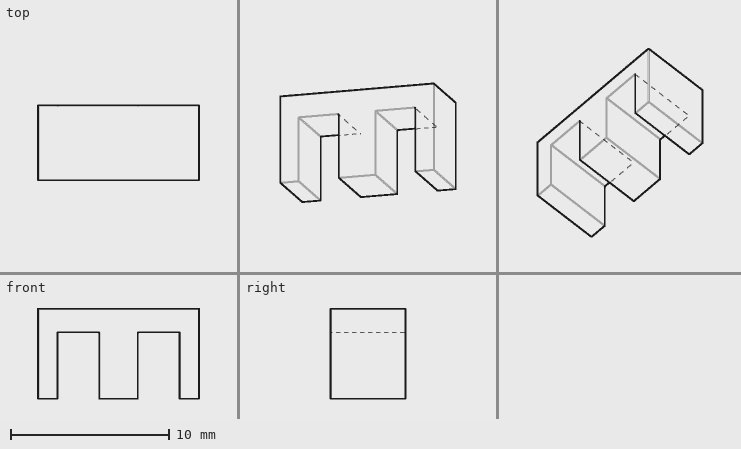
import cadquery as cq

length = 10.2
depth = 4.75
height = 5.7
outer_leg_width = 1.25
centre_leg_width = 2.45
back_thickness = 1.5
edge_radius = 0.05

slot_width = (length - centre_leg_width) / 2 - outer_leg_width
slot_height = height - back_thickness
slot_centre_x = (centre_leg_width + slot_width) / 2


def core_block():
    """Solid block, centred on X and Y, standing on Z = 0."""
    return cq.Workplane("XY").box(length, depth, height, centered=(True, True, False))


def winding_slot(centre_x):
    """Window between two legs, open at the bottom and through in Y."""
    slot = cq.Workplane("XY").box(slot_width, depth, slot_height, centered=(True, True, False))
    return slot.translate((centre_x, 0, 0))


def e_core():
    """Back with three legs, before the edges are rounded."""
    core = core_block()
    for side in (-1, 1):
        core = core.cut(winding_slot(side * slot_centre_x))
    return core


result = e_core().edges().fillet(edge_radius)